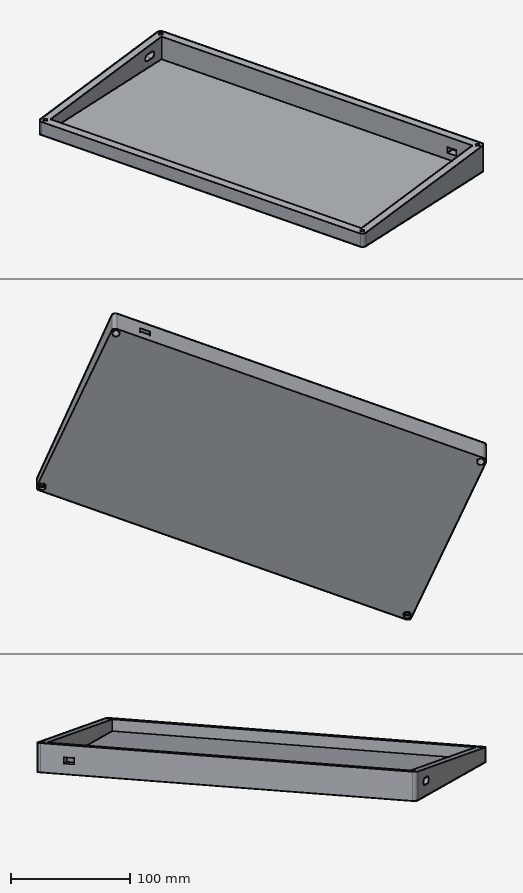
import cadquery as cq

length = 339.7
depth = 171.2
back_height = 25.0
front_height = 12.5
corner_radius = 3.5
wall = 7.5
floor_thickness = 3.0

screw_inset = 4.5
screw_diameter = 3.5
head_diameter = 6.0
seat_thickness = 9.0

side_slot_length = 12.5
side_slot_height = 6.0
side_slot_inset = 24.0
side_slot_z = 13.0

back_opening_width = 9.2
back_opening_height = 5.5
back_opening_inset = 29.2
back_opening_z = 12.0

rim_slope = (back_height - front_height) / depth


def rim_height(y):
    """Height of the sloping rim at a given Y."""
    return front_height + rim_slope * (y + depth / 2)


def wedge_body():
    """Solid wedge, high at the back, with rounded upright corners."""
    profile = [
        (-depth / 2, 0),
        (depth / 2, 0),
        (depth / 2, back_height),
        (-depth / 2, front_height),
    ]
    wedge = cq.Workplane("YZ").polyline(profile).close().extrude(length / 2, both=True)
    return wedge.edges("|Z").fillet(corner_radius)


def cavity():
    """Open-topped interior above the floor."""
    return (
        cq.Workplane("XY")
        .workplane(offset=floor_thickness)
        .rect(length - 2 * wall, depth - 2 * wall)
        .extrude(back_height)
    )


def screw_hole(x, y):
    """Through hole with a head recess opening on the underside."""
    base = cq.Workplane("XY").center(x, y)
    shank = base.circle(screw_diameter / 2).extrude(back_height)
    head = base.circle(head_diameter / 2).extrude(rim_height(y) - seat_thickness)
    return shank.union(head)


def side_slot():
    """Slot through the -X wall."""
    return (
        cq.Workplane("YZ", origin=(-length / 2, depth / 2 - side_slot_inset, side_slot_z))
        .slot2D(side_slot_length, side_slot_height)
        .extrude(wall)
    )


def back_opening():
    """Rectangular opening through the +Y wall."""
    return (
        cq.Workplane("XZ", origin=(length / 2 - back_opening_inset, depth / 2, back_opening_z))
        .rect(back_opening_width, back_opening_height)
        .extrude(wall)
    )


result = wedge_body().cut(cavity()).cut(side_slot()).cut(back_opening())
for x_side in (-1, 1):
    for y_side in (-1, 1):
        x = x_side * (length / 2 - screw_inset)
        y = y_side * (depth / 2 - screw_inset)
        result = result.cut(screw_hole(x, y))